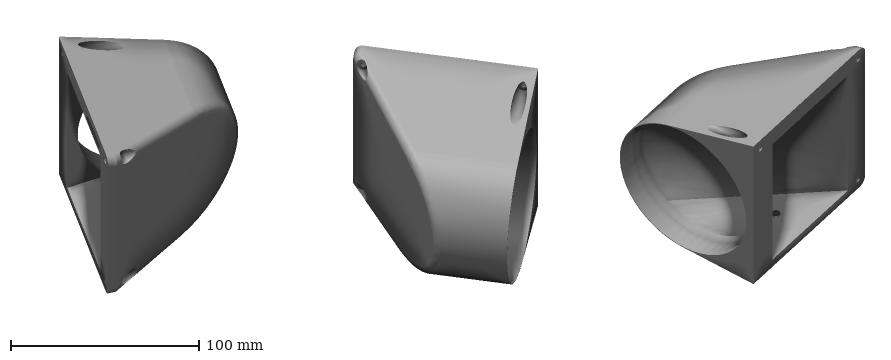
import cadquery as cq
import math

plate_width = 99.1
plate_height = 100.0
duct_radius = 42.2
duct_y = 46.4
duct_z = 42.8
body_depth = duct_y + duct_radius

plate_edge = 4.8
slant_top_x = 38.6
edge_radius = 5.0

socket_diameter = 83.4
socket_depth = 12.0
throat_diameter = 81.3
throat_x = 16.8

mouth_right = 84.0
mouth_bottom = 5.2
mouth_top = 89.0
corner_angle = 55.5

screw_diameter = 3.2
screw_inset = 6.3
head_diameter = 7.5
head_y = 7.8
floor_hole_diameter = 4.7
floor_hole_x = 47.2
floor_hole_y = 20.3


def tangent_point(plate_z, side):
    """Point (y, z) where a line from the plate edge touches the duct circle; side is +1 top, -1 bottom."""
    to_plate_y = -duct_y
    to_plate_z = plate_z - duct_z
    distance = math.hypot(to_plate_y, to_plate_z)
    angle = math.atan2(to_plate_z, to_plate_y) - side * math.acos(duct_radius / distance)
    return duct_y + duct_radius * math.cos(angle), duct_z + duct_radius * math.sin(angle)


def make_body():
    profile = (
        cq.Workplane("YZ")
        .moveTo(0, 0)
        .lineTo(*tangent_point(0, -1))
        .threePointArc((body_depth, duct_z), tangent_point(plate_height, 1))
        .lineTo(0, plate_height)
        .close()
        .extrude(plate_width)
    )
    plan = (
        cq.Workplane("XY")
        .polyline([
            (0, 0),
            (plate_width, 0),
            (plate_width, plate_edge),
            (slant_top_x, body_depth),
            (0, body_depth),
        ])
        .close()
        .extrude(plate_height)
    )
    body = profile.intersect(plan)
    slant_middle = ((plate_width + slant_top_x) / 2, (plate_edge + body_depth) / 2, plate_height / 2)
    plate_corners = body.faces(">X").edges("not |Z").vals()
    slant_face = body.faces(cq.NearestToPointSelector(slant_middle)).val()
    slant_rim = [edge for edge in slant_face.Edges() if edge.Center().x < plate_width - edge_radius]
    return body.newObject(plate_corners + slant_rim).fillet(edge_radius)


def make_socket():
    socket_radius = socket_diameter / 2
    throat_radius = throat_diameter / 2
    return (
        cq.Workplane("XY")
        .polyline([
            (0, duct_y),
            (0, duct_y + socket_radius),
            (socket_depth, duct_y + socket_radius),
            (throat_x, duct_y + throat_radius),
            (throat_x, duct_y),
        ])
        .close()
        .revolve(360, (0, duct_y, 0), (1, duct_y, 0))
        .translate((0, 0, duct_z))
    )


def throat_point(angle):
    radius = throat_diameter / 2
    return cq.Vector(
        throat_x,
        duct_y + radius * math.cos(math.radians(angle)),
        duct_z + radius * math.sin(math.radians(angle)),
    )


def throat_arc(start, end):
    return cq.Edge.makeThreePointArc(
        throat_point(start), throat_point((start + end) / 2), throat_point(end)
    )


def make_cavity():
    """Transition whose ruled walls join the mouth's straight edges to arcs of the throat."""
    near_bottom = cq.Vector(throat_x, 0, mouth_bottom)
    far_bottom = cq.Vector(mouth_right, 0, mouth_bottom)
    far_top = cq.Vector(mouth_right, 0, mouth_top)
    near_top = cq.Vector(throat_x, 0, mouth_top)
    near_angle = 180 - corner_angle

    bottom_edge = cq.Edge.makeLine(near_bottom, far_bottom)
    far_edge = cq.Edge.makeLine(far_bottom, far_top)
    top_edge = cq.Edge.makeLine(far_top, near_top)
    near_edge = cq.Edge.makeLine(near_top, near_bottom)
    bottom_arc = throat_arc(-near_angle, -corner_angle)
    far_arc = throat_arc(-corner_angle, corner_angle)
    top_arc = throat_arc(corner_angle, near_angle)

    mouth = cq.Face.makeFromWires(
        cq.Wire.assembleEdges([bottom_edge, far_edge, top_edge, near_edge])
    )
    throat = cq.Face.makeFromWires(cq.Wire.assembleEdges([
        cq.Edge.makeLine(near_bottom, throat_point(-near_angle)),
        bottom_arc,
        far_arc,
        top_arc,
        cq.Edge.makeLine(throat_point(near_angle), near_top),
        near_edge,
    ]))
    walls = [
        cq.Face.makeRuledSurface(bottom_edge, bottom_arc),
        cq.Face.makeRuledSurface(far_edge, far_arc),
        cq.Face.makeRuledSurface(top_edge, top_arc),
    ]
    shell = cq.Shell.makeShell([mouth, throat] + walls)
    return cq.Workplane(obj=cq.Solid.makeSolid(shell).fix())


def make_screw_hole(x, z):
    """Screw hole through the plate with a head clearance running out of the back of the body."""
    into_body = cq.Vector(0, 1, 0)
    shank = cq.Solid.makeCylinder(screw_diameter / 2, body_depth, cq.Vector(x, 0, z), into_body)
    head = cq.Solid.makeCylinder(head_diameter / 2, body_depth, cq.Vector(x, head_y, z), into_body)
    return cq.Workplane(obj=shank.fuse(head))


def make_floor_hole():
    return (
        cq.Workplane("XY")
        .center(floor_hole_x, floor_hole_y)
        .circle(floor_hole_diameter / 2)
        .extrude(duct_z)
    )


screw_left = screw_inset
screw_right = plate_width - screw_inset
screw_bottom = screw_inset
screw_top = plate_height - screw_inset

result = make_body().cut(make_socket()).cut(make_cavity()).cut(make_floor_hole())
for x, z in [(screw_left, screw_top), (screw_right, screw_top), (screw_right, screw_bottom)]:
    result = result.cut(make_screw_hole(x, z))